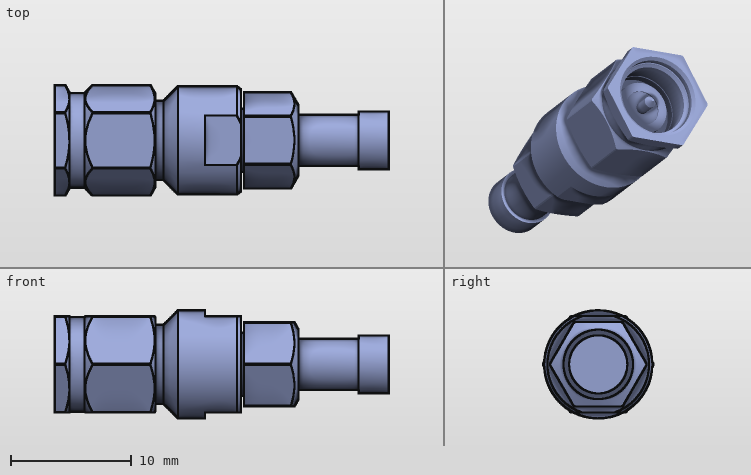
import cadquery as cq
import math


total_length = 27.75
flange_end = 1.25
nut_start = 2.5
nut_end = 8.38
cone_start = 9.05
body_flat_start = 12.48
body_end = 15.48
rear_hex_start = 15.7
rear_hex_end = 20.25
collar_length = 2.52

nut_across_flats = 8.0
nut_corner_radius = 4.58
flange_rear_radius = 3.97
nut_neck_radius = 3.95
nut_rear_radius = 3.85

waist_radius = 3.3
body_radius = 4.5
body_rear_radius = 4.22
body_rear_bevel = 0.35
rear_neck_radius = 2.64

rear_hex_across_flats = 7.0
rear_hex_corner_radius = 4.0
rear_hex_end_radius = 2.88
tube_radius = 2.14
collar_radius = 2.4

mouth_radius = 3.47
entry_radius = 3.22
entry_depth = 0.78
seat_radius = 3.13
bore_radius = 2.88
groove_radius = 2.97
groove_start = 3.15
groove_width = 0.2
socket_depth = 4.15

insulator_radius = 2.22
insulator_front = 3.0
recess_radius = 1.47
recess_depth = 0.1
pin_radius = 0.485
pin_tip_radius = 0.1
pin_tip = 0.97
pin_cone_length = 0.53

bevel_slope = math.tan(math.radians(30))


def turned(points):
    """Revolve (x, radius) points, closed along the X axis, into a solid."""
    outline = [(points[0][0], 0), *points, (points[-1][0], 0)]
    return cq.Workplane("XY").polyline(outline).close().revolve(360, (0, 0, 0), (1, 0, 0))


def rod(start, end, radius):
    """Plain cylinder along X."""
    return turned([(start, radius), (end, radius)])


def hexagon(start, end, across_flats):
    """Hexagonal prism along X with two flats facing +Z and -Z."""
    across_corners = across_flats / math.cos(math.radians(30))
    prism = cq.Workplane("YZ").polygon(6, across_corners).extrude(end - start)
    return prism.translate((start, 0, 0))


def bevelled_hexagon(start, end, across_flats, corner_radius, end_radius):
    """Hexagonal prism with turned corners and a 30 degree bevel at its rear end."""
    bevel_length = (corner_radius - end_radius) * bevel_slope
    envelope = turned([
        (start, corner_radius),
        (end - bevel_length, corner_radius),
        (end, end_radius),
    ])
    return hexagon(start, end, across_flats).intersect(envelope)


def coupling_nut():
    """Front flange, turned neck and nut whose front end has a 45 degree bevel."""
    flange = bevelled_hexagon(0, flange_end, nut_across_flats, nut_corner_radius, flange_rear_radius)
    neck = rod(0, nut_start, nut_neck_radius)
    front_bevel = turned([
        (nut_start, nut_neck_radius),
        (nut_start + nut_corner_radius - nut_neck_radius, nut_corner_radius),
        (nut_end, nut_corner_radius),
    ])
    nut = bevelled_hexagon(nut_start, nut_end, nut_across_flats, nut_corner_radius, nut_rear_radius)
    return flange.union(neck).union(nut.intersect(front_bevel))


def body():
    """Waist, 45 degree cone and cylinder with a wrench flat above and below."""
    cone_end = cone_start + body_radius - waist_radius
    shape = turned([
        (nut_start, waist_radius),
        (cone_start, waist_radius),
        (cone_end, body_radius),
        (body_end - body_rear_bevel, body_radius),
        (body_end, body_rear_radius),
    ])
    flat_length = body_end - body_flat_start
    for side in (1, -1):
        cutter = cq.Workplane("XY").box(flat_length, 2 * body_radius, body_radius)
        cutter_height = side * (nut_across_flats + body_radius) / 2
        shape = shape.cut(cutter.translate((body_flat_start + flat_length / 2, 0, cutter_height)))
    return shape


def rear_end():
    """Neck, rear hexagon and the tube with its end collar."""
    rear_hex = bevelled_hexagon(
        rear_hex_start, rear_hex_end, rear_hex_across_flats, rear_hex_corner_radius, rear_hex_end_radius
    )
    neck = rod(nut_end, rear_hex_end, rear_neck_radius)
    tube = rod(nut_end, total_length, tube_radius)
    collar = rod(total_length - collar_length, total_length, collar_radius)
    return neck.union(rear_hex).union(tube).union(collar)


def socket():
    """Void of the nut: bevelled mouth, clearance, bevelled seat, bore and ring groove."""
    groove_end = groove_start + groove_width
    return turned([
        (0, mouth_radius),
        (mouth_radius - entry_radius, entry_radius),
        (entry_depth, entry_radius),
        (entry_depth, seat_radius),
        (entry_depth + seat_radius - bore_radius, bore_radius),
        (groove_start, bore_radius),
        (groove_start, groove_radius),
        (groove_end, groove_radius),
        (groove_end, bore_radius),
        (socket_depth, bore_radius),
    ])


def contact():
    """Insulator with a shallow front recess and a pointed pin on the axis."""
    return turned([
        (pin_tip, pin_tip_radius),
        (pin_tip + pin_cone_length, pin_radius),
        (insulator_front + recess_depth, pin_radius),
        (insulator_front + recess_depth, recess_radius),
        (insulator_front, recess_radius),
        (insulator_front, insulator_radius),
        (socket_depth, insulator_radius),
    ])


result = coupling_nut().union(body()).union(rear_end()).cut(socket()).union(contact())